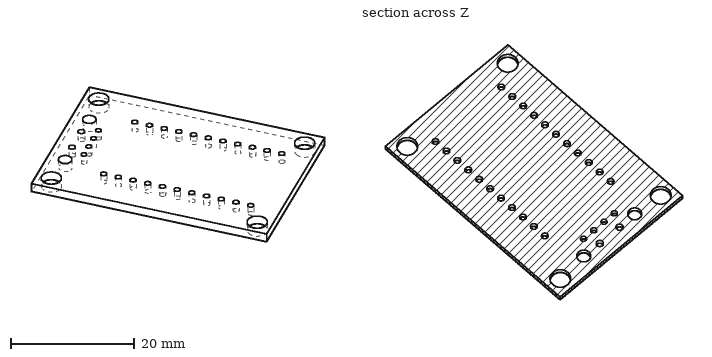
import cadquery as cq

board_length = 40.64
board_width = 27.94
board_thickness = 1.6

mount_diameter = 3.302
mount_inset = 2.54

header_diameter = 1.016
header_count = 11
header_pitch = 2.54
header_first_x = -10.16
header_row_spacing = 14.986

connector_center_y = -0.12
peg_diameter = 2.2
peg_x = -17.36
peg_spacing = 11.6
power_diameter = 1.1
power_x = -17.46
power_spacing = 4.5
signal_diameter = 0.91
row_offset = 2.5
signal_x = power_x + row_offset
signal_count = 4
signal_pitch = 2.33


def column(x, center_y, count, pitch):
    """Points evenly spaced along Y at one X, centred on center_y."""
    first_y = center_y - pitch * (count - 1) / 2
    return [(x, first_y + i * pitch) for i in range(count)]


def drill(body, points, diameter):
    """Drill through holes of one diameter at the given XY points."""
    drills = (
        cq.Workplane("XY")
        .pushPoints(points)
        .circle(diameter / 2)
        .extrude(board_thickness)
    )
    return body.cut(drills)


def mount_points():
    """Centres of the four corner holes."""
    x = board_length / 2 - mount_inset
    y = board_width / 2 - mount_inset
    return [(side_x * x, side_y * y) for side_x in (-1, 1) for side_y in (-1, 1)]


def header_points():
    """Centres of the pin holes in both header rows."""
    points = []
    for i in range(header_count):
        points += column(header_first_x + i * header_pitch, 0, 2, header_row_spacing)
    return points


board = cq.Workplane("XY").box(
    board_length, board_width, board_thickness, centered=(True, True, False)
)
board = drill(board, mount_points(), mount_diameter)
board = drill(board, header_points(), header_diameter)
board = drill(board, column(peg_x, connector_center_y, 2, peg_spacing), peg_diameter)
board = drill(board, column(power_x, connector_center_y, 2, power_spacing), power_diameter)
board = drill(
    board, column(signal_x, connector_center_y, signal_count, signal_pitch), signal_diameter
)

result = board